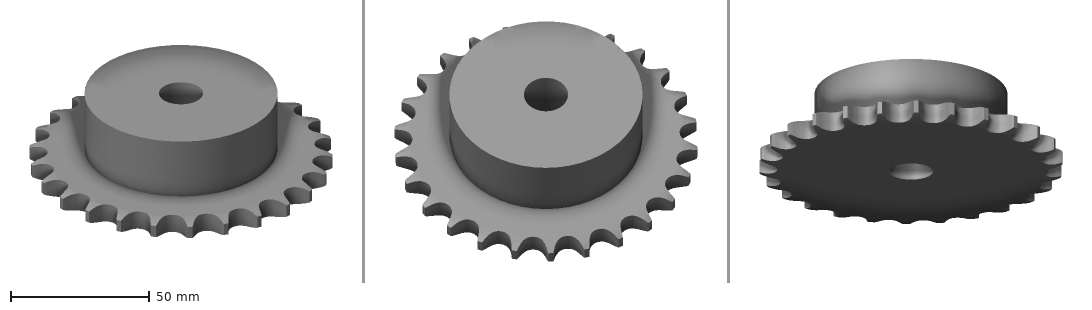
import cadquery as cq
import math

tooth_count = 26
tip_diameter = 110.0
pitch_diameter = 105.4
plate_thickness = 7.2
total_height = 30.0
hub_diameter = 70.0
bore_diameter = 16.0

rim_relief_width = 5.6
rim_relief_radius = 13.0

seat_radius = 4.3
seat_half_angle = 90 - (35 + 60 / tooth_count)
working_radius = 11.1
working_angle = 18 - 56 / tooth_count
flank_flat_length = 1.1
topping_radius = 6.9
topping_angle = 24.0

tip_radius = tip_diameter / 2
tooth_angle = 360 / tooth_count
pitch_radius = pitch_diameter / 2


def polar(start, distance, angle):
    """Point at a distance and an angle in degrees from a start point."""
    turn = math.radians(angle)
    return start[0] + distance * math.cos(turn), start[1] + distance * math.sin(turn)


def mirrored(point):
    """Point reflected across the X axis."""
    return point[0], -point[1]


def make_blank():
    """Round plate whose rim is relieved by an arc on both faces."""
    face_radius = tip_radius - rim_relief_width

    def relief_depth(width):
        """Drop below the plate face at a distance outside the face edge."""
        return rim_relief_radius - math.sqrt(rim_relief_radius**2 - width**2)

    tip_drop = relief_depth(rim_relief_width)
    half_width = rim_relief_width / 2
    half_drop = relief_depth(half_width)
    return (
        cq.Workplane("XZ")
        .lineTo(face_radius, 0)
        .threePointArc((face_radius + half_width, half_drop), (tip_radius, tip_drop))
        .lineTo(tip_radius, plate_thickness - tip_drop)
        .threePointArc(
            (face_radius + half_width, plate_thickness - half_drop),
            (face_radius, plate_thickness),
        )
        .lineTo(0, plate_thickness)
        .close()
        .revolve(360, (0, 0), (0, 1))
    )


def make_gap():
    """Cutter for one tooth gap, symmetric about +X."""
    seat_center = (pitch_radius, 0)
    seat_bottom = polar(seat_center, seat_radius, 180)

    seat_end_angle = 180 - seat_half_angle
    working_end_angle = seat_end_angle - working_angle
    seat_end = polar(seat_center, seat_radius, seat_end_angle)
    working_center = polar(seat_end, -working_radius, seat_end_angle)
    working_middle = polar(working_center, working_radius, seat_end_angle - working_angle / 2)
    working_end = polar(working_center, working_radius, working_end_angle)
    flat_end = polar(working_end, flank_flat_length, working_end_angle - 90)
    topping_center = polar(flat_end, topping_radius, working_end_angle)
    topping_start_angle = working_end_angle + 180
    topping_middle = polar(topping_center, topping_radius, topping_start_angle + topping_angle / 2)
    topping_end = polar(topping_center, topping_radius, topping_start_angle + topping_angle)

    return (
        cq.Workplane("XY")
        .moveTo(*mirrored(seat_end))
        .threePointArc(seat_bottom, seat_end)
        .threePointArc(working_middle, working_end)
        .lineTo(*flat_end)
        .threePointArc(topping_middle, topping_end)
        .lineTo(*mirrored(topping_end))
        .threePointArc(mirrored(topping_middle), mirrored(flat_end))
        .lineTo(*mirrored(working_end))
        .threePointArc(mirrored(working_middle), mirrored(seat_end))
        .close()
        .extrude(plate_thickness)
    )


sprocket = make_blank()
gap = make_gap()
for index in range(tooth_count):
    sprocket = sprocket.cut(gap.rotate((0, 0, 0), (0, 0, 1), (index + 0.5) * tooth_angle))

hub = cq.Workplane("XY").circle(hub_diameter / 2).extrude(total_height)
bore = cq.Workplane("XY").circle(bore_diameter / 2).extrude(total_height)

result = sprocket.union(hub).cut(bore)